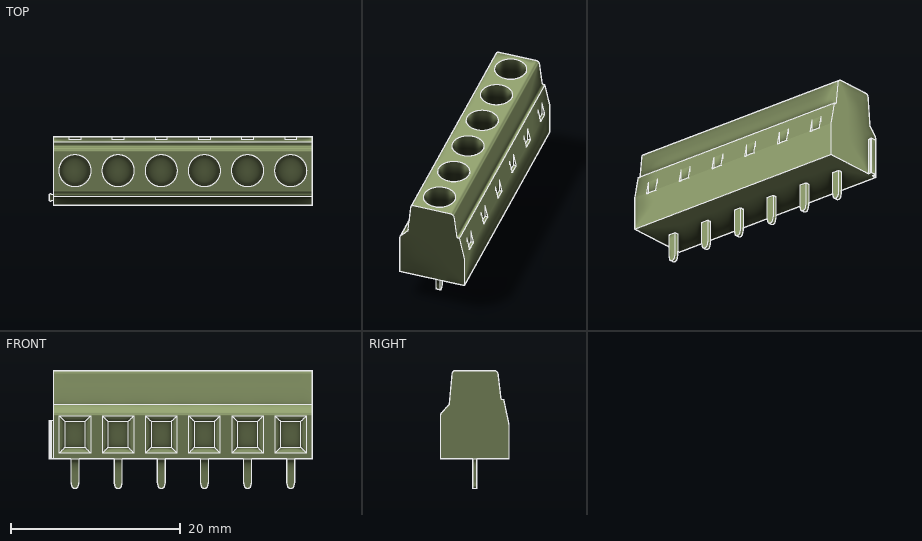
import cadquery as cq


pole_count = 6
pole_pitch = 5.08
housing_length = pole_count * pole_pitch
housing_depth = 8.1
housing_height = 10.4

rib_reach = 0.5
rib_height = 4.52
rib_y = 0.93
rib_narrow_half_width = 0.37
rib_wide_half_width = 0.45
rib_wide_x = 0.12
rib_neck_x = 0.28

housing_start_x = rib_reach
pole_positions = [housing_start_x + pole_pitch * (index + 0.5) for index in range(pole_count)]

front_wall_top = (0, 5.3)
shoulder_top = (1.02, 6.4)
front_top_corner = (1.4, housing_height)
back_top_corner = (6.75, housing_height)
step_inner = (7.15, 7.0)
step_outer = (7.47, 7.0)
back_wall_top = (housing_depth, 4.1)

front_wall_radius = 0.5
front_top_radius = 0.4
back_top_radius = 0.5
step_radius = 0.12

screw_hole_diameter = 3.78
screw_hole_y = 4.1
screw_hole_depth = 3.1

entry_width = 3.72
entry_bottom = 0.68
entry_height = 4.4
entry_depth = 1.8
entry_inset = 0.68

notch_width = 1.4
notch_depth = 0.35
notch_floor = back_wall_top[1]

pin_y = housing_depth / 2
pin_width = 0.95
pin_thickness = 0.5
pin_length = 3.5
pin_taper_start = 2.8
pin_round_start = 3.25
pin_round_half_width = 0.37


def housing_body():
    """Prism with the stepped cross-section, rounded along its long edges."""
    body = (
        cq.Workplane("YZ", origin=(housing_start_x, 0, 0))
        .polyline(
            [
                (0, 0),
                front_wall_top,
                shoulder_top,
                front_top_corner,
                back_top_corner,
                step_inner,
                step_outer,
                back_wall_top,
                (housing_depth, 0),
            ]
        )
        .close()
        .extrude(housing_length)
    )
    middle_x = housing_start_x + housing_length / 2
    roundings = [
        (front_wall_top, front_wall_radius),
        (front_top_corner, front_top_radius),
        (back_top_corner, back_top_radius),
        (step_inner, step_radius),
    ]
    for (corner_y, corner_z), radius in roundings:
        long_edge = cq.NearestToPointSelector((middle_x, corner_y, corner_z))
        body = body.edges("|X").edges(long_edge).fillet(radius)
    return body


def interlock_rib():
    """Vertical rib on the -X end of the housing."""
    half_outline = [
        (0, rib_narrow_half_width),
        (rib_wide_x, rib_wide_half_width),
        (rib_neck_x, rib_narrow_half_width),
        (rib_reach, rib_narrow_half_width),
    ]
    mirrored_half = [(x, -y) for x, y in reversed(half_outline)]
    return (
        cq.Workplane("XY", origin=(0, rib_y, 0))
        .polyline(half_outline + mirrored_half)
        .close()
        .extrude(rib_height)
    )


def screw_hole(pole_x):
    """Blind round hole sunk from the top face."""
    return (
        cq.Workplane("XY", origin=(pole_x, screw_hole_y, housing_height))
        .circle(screw_hole_diameter / 2)
        .extrude(-screw_hole_depth)
    )


def wire_entry(pole_x):
    """Rectangular funnel that narrows equally on all four sides."""
    entry_middle_z = entry_bottom + entry_height / 2
    return (
        cq.Workplane("XZ", origin=(pole_x, 0, entry_middle_z))
        .rect(entry_width, entry_height)
        .workplane(offset=-entry_depth)
        .rect(entry_width - 2 * entry_inset, entry_height - 2 * entry_inset)
        .loft(ruled=True)
    )


def back_notch(pole_x):
    """Notch with a flat floor at the foot of the back slope."""
    notch_top = step_outer[1]
    return (
        cq.Workplane("XY", origin=(pole_x, housing_depth - notch_depth / 2, notch_floor))
        .rect(notch_width, notch_depth)
        .extrude(notch_top - notch_floor)
    )


def terminal_housing():
    """Housing with its rib, screw holes, wire entries and back notches."""
    body = housing_body().union(interlock_rib())
    for pole_x in pole_positions:
        body = body.cut(screw_hole(pole_x))
        body = body.cut(wire_entry(pole_x))
        body = body.cut(back_notch(pole_x))
    return body


def solder_pin(pole_x):
    """Flat pin that hangs from the underside of the housing."""
    half_width = pin_width / 2
    return (
        cq.Workplane("XZ", origin=(pole_x, pin_y + pin_thickness / 2, 0))
        .moveTo(-half_width, 0)
        .lineTo(-half_width, -pin_taper_start)
        .lineTo(-pin_round_half_width, -pin_round_start)
        .threePointArc((0, -pin_length), (pin_round_half_width, -pin_round_start))
        .lineTo(half_width, -pin_taper_start)
        .lineTo(half_width, 0)
        .close()
        .extrude(pin_thickness)
    )


housing = terminal_housing()
pins = [solder_pin(pole_x) for pole_x in pole_positions]

result = cq.Compound.makeCompound([housing.val(), *[pin.val() for pin in pins]])